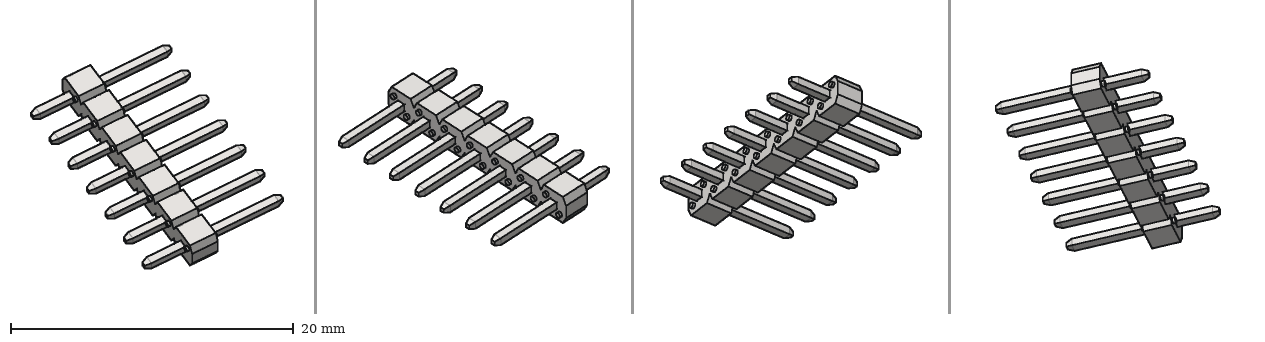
import cadquery as cq

pin_count = 7
pitch = 2.54
pin_positions = [(i - (pin_count - 1) / 2) * pitch for i in range(pin_count)]

housing_height = 2.413
housing_depth = 2.13
corner_width = 0.3175
corner_height = 0.635
half_height = housing_height / 2
half_cell = pitch / 2
housing_front = -housing_depth / 2

stud_diameter = 0.42
stud_height = 0.2
stud_offset_x = 0.66
stud_offset_z = 0.554

pin_width = 0.64
pin_length = 11.43
pin_front_reach = 3.26
tip_width = 0.345
tip_length = 0.46
pin_front = housing_front - pin_front_reach
pin_back = pin_front + pin_length


def bar_along_y(sketch, start_y, length):
    """Extrude an XZ sketch toward +Y from start_y."""
    return sketch.extrude(-length).translate((0, start_y, 0))


def make_cell(x):
    """One octagonal housing cell centred at x."""
    flat_x = half_cell - corner_width
    flat_z = half_height - corner_height
    outline = cq.Workplane("XZ").center(x, 0).polyline([
        (-half_cell, -flat_z),
        (-flat_x, -half_height),
        (flat_x, -half_height),
        (half_cell, -flat_z),
        (half_cell, flat_z),
        (flat_x, half_height),
        (-flat_x, half_height),
        (-half_cell, flat_z),
    ]).close()
    return bar_along_y(outline, housing_front, housing_depth)


def make_studs(x):
    """Two diagonal studs that run through the cell and stand out of both faces."""
    centres = [(x - stud_offset_x, -stud_offset_z), (x + stud_offset_x, stud_offset_z)]
    circles = cq.Workplane("XZ").pushPoints(centres).circle(stud_diameter / 2)
    return bar_along_y(circles, housing_front - stud_height, housing_depth + 2 * stud_height)


def make_pin_hole(x):
    """Square passage through the housing that the pin fills."""
    square = cq.Workplane("XZ").center(x, 0).rect(pin_width, pin_width)
    return bar_along_y(square, housing_front, housing_depth)


def make_housing():
    housing = make_cell(pin_positions[0])
    for x in pin_positions[1:]:
        housing = housing.union(make_cell(x))
    housing = housing.clean()
    for x in pin_positions:
        housing = housing.union(make_studs(x)).cut(make_pin_hole(x))
    return housing


def make_tip(x, base_y, direction):
    """Tapered tip from base_y; direction is +1 toward +Y and -1 toward -Y."""
    plane = cq.Plane(origin=(x, base_y, 0), xDir=(1, 0, 0), normal=(0, direction, 0))
    return (
        cq.Workplane(plane)
        .rect(pin_width, pin_width)
        .workplane(offset=tip_length)
        .rect(tip_width, tip_width)
        .loft()
    )


def make_pin(x):
    shaft_front = pin_front + tip_length
    shaft_back = pin_back - tip_length
    square = cq.Workplane("XZ").center(x, 0).rect(pin_width, pin_width)
    shaft = bar_along_y(square, shaft_front, shaft_back - shaft_front)
    return shaft.union(make_tip(x, shaft_front, -1)).union(make_tip(x, shaft_back, 1))


housing = make_housing()
pins = [make_pin(x) for x in pin_positions]
result = cq.Compound.makeCompound([housing.solids().val(), *[pin.solids().val() for pin in pins]])